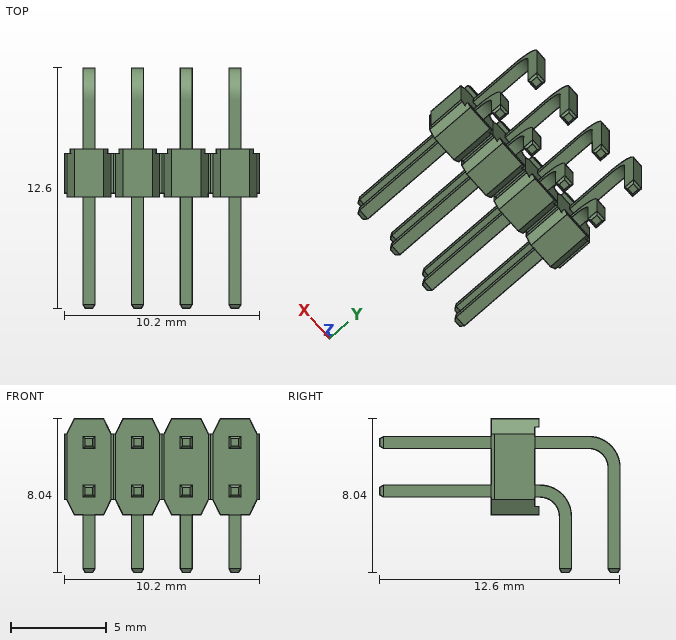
import cadquery as cq
import math


module_count = 4
row_width = 10.16
overall_length = 12.56
overall_height = 8.04
pitch = row_width / module_count

housing_height = 5.02
housing_depth = 2.51
housing_width = 2.31
housing_top_width = 1.53
side_height = 3.44

relief_depth = 0.23
lip_height = 0.44

pad_setback = 0.19

pin_size = 0.64
bend_inner_radius = 1.0
bend_outer_radius = bend_inner_radius + pin_size
front_reach = 5.82
tip_length = 0.21
tip_inset = 0.13

front_tip_y = -front_reach
rear_y = overall_length - front_reach
bottom_tip_z = housing_height / 2 - overall_height
relief_y = housing_depth - relief_depth
tip_size = pin_size - 2 * tip_inset


def centered_box(width, height, front_y, back_y):
    """Box centred in X and Z that spans front_y to back_y."""
    return (
        cq.Workplane("XZ", origin=(0, front_y, 0))
        .rect(width, height)
        .extrude(front_y - back_y)
    )


def make_housing():
    """Octagonal block with a stepped back and a pad on each side."""
    half_width = housing_width / 2
    half_top = housing_top_width / 2
    half_side = side_height / 2
    half_height = housing_height / 2
    outline = [
        (-half_top, half_height),
        (half_top, half_height),
        (half_width, half_side),
        (half_width, -half_side),
        (half_top, -half_height),
        (-half_top, -half_height),
        (-half_width, -half_side),
        (-half_width, half_side),
    ]
    block = cq.Workplane("XZ").polyline(outline).close().extrude(-housing_depth)
    relief = centered_box(pitch, housing_height - 2 * lip_height, relief_y, housing_depth)
    pads = centered_box(pitch, side_height, pad_setback, housing_depth)
    return block.union(pads).cut(relief)


def make_tip(plane):
    """Tapered pin end that grows along the normal of the plane."""
    return (
        cq.Workplane(plane)
        .rect(pin_size, pin_size)
        .workplane(offset=tip_length)
        .rect(tip_size, tip_size)
        .loft(ruled=True)
    )


def make_pin(center_z, leg_back_y):
    """Pin that runs back at center_z, bends down and ends in a leg backed by leg_back_y."""
    top_z = center_z + pin_size / 2
    underside_z = center_z - pin_size / 2
    leg_front_y = leg_back_y - pin_size
    bend_y = leg_back_y - bend_outer_radius
    bend_z = top_z - bend_outer_radius
    shank_front_y = front_tip_y + tip_length
    leg_bottom_z = bottom_tip_z + tip_length
    diagonal = math.sqrt(0.5)

    def bend_middle(radius):
        return (bend_y + radius * diagonal, bend_z + radius * diagonal)

    shank = (
        cq.Workplane("YZ")
        .moveTo(shank_front_y, top_z)
        .lineTo(bend_y, top_z)
        .threePointArc(bend_middle(bend_outer_radius), (leg_back_y, bend_z))
        .lineTo(leg_back_y, leg_bottom_z)
        .lineTo(leg_front_y, leg_bottom_z)
        .lineTo(leg_front_y, bend_z)
        .threePointArc(bend_middle(bend_inner_radius), (bend_y, underside_z))
        .lineTo(shank_front_y, underside_z)
        .close()
        .extrude(pin_size / 2, both=True)
    )
    front_plane = cq.Plane(origin=(0, shank_front_y, center_z), xDir=(1, 0, 0), normal=(0, -1, 0))
    leg_center_y = leg_back_y - pin_size / 2
    leg_plane = cq.Plane(origin=(0, leg_center_y, leg_bottom_z), xDir=(1, 0, 0), normal=(0, 0, -1))
    return shank.union(make_tip(front_plane)).union(make_tip(leg_plane))


def make_module(center_x):
    """One solid: a housing block with its upper and lower pin."""
    upper_pin = make_pin(pitch / 2, rear_y)
    lower_pin = make_pin(-pitch / 2, rear_y - pitch)
    module = make_housing().union(lower_pin).union(upper_pin)
    return module.translate((center_x, 0, 0))


modules = []
for index in range(module_count):
    module_x = (index - (module_count - 1) / 2) * pitch
    modules.append(make_module(module_x).solids().val())

result = cq.Compound.makeCompound(modules)